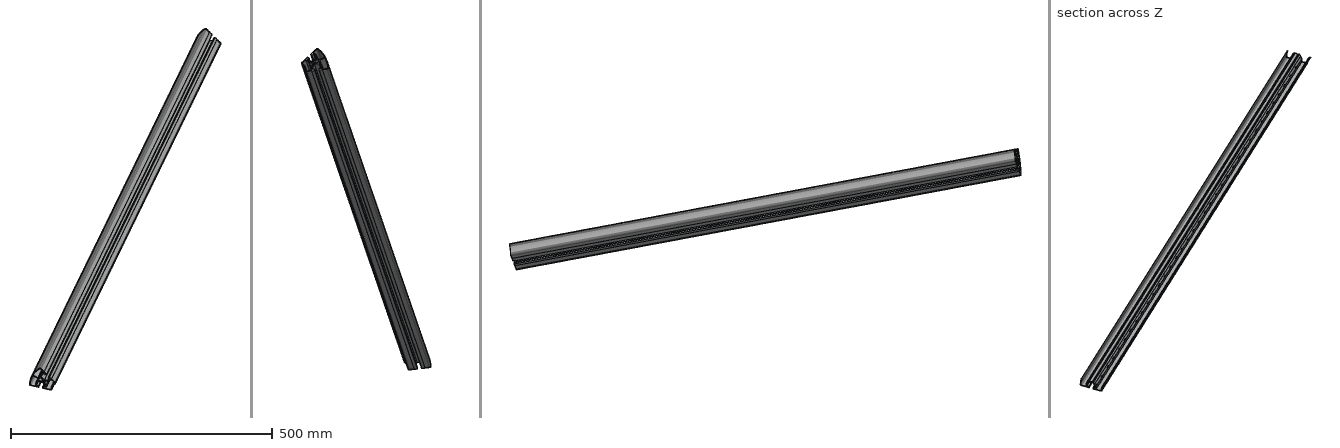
import math

import cadquery as cq

LENGTH = 1000.0
FACE_DISTANCE = 21.425
FACE_HALF_WIDTH = 22.5
SLOT_ANGLE = 135.0

WALL = 1.5
BACK_RADIUS = 71.5
FRONT_RADIUS = 18.9
CORNER_RADIUS = 2.5
INNER_CORNER_RADIUS = 1.4

SLOT_HALF_OPENING = 4.1
LIP_THICKNESS = 4.3
SLOT_HALF_WIDTH = 8.2
TAPER_START = 12.6
SLOT_BASE = 6.4
SLOT_BASE_HALF_WIDTH = 4.5
SLOT_WALL = 2.3
SLOT_BASE_WALL = 3.5
SLOT_ROOT_HALF_WIDTH = 2.2

CORE_HOLE_DIAMETER = 7.3
CORE_RADIUS = 6.2
RIB_THICKNESS = 1.7

AXIS_ANGLE = SLOT_ANGLE / 2 - 90.0
PROFILE_CENTRE = (0, 0, 0)
BAR_DIRECTION = (0, 1, 0)


def polar(radius, degrees):
    angle = math.radians(degrees)
    return (radius * math.cos(angle), radius * math.sin(angle))


def shifted(point, offset):
    return (point[0] + offset[0], point[1] + offset[1])


def mirrored(point):
    """Reflect a profile point in the mirror line."""
    double = math.radians(2 * AXIS_ANGLE)
    x, z = point
    return (x * math.cos(double) + z * math.sin(double), x * math.sin(double) - z * math.cos(double))


def profile_plane():
    """XZ plane at the +Y end, from which the profile is extruded towards -Y."""
    return cq.Workplane("XZ", origin=(0, LENGTH / 2, 0))


def back_arc_centre():
    """Centre of the back arc: on the mirror line, and tangent to the outer back corners."""
    corner_x = FACE_HALF_WIDTH - CORNER_RADIUS
    corner_z = FACE_DISTANCE - CORNER_RADIUS
    corner_distance = math.hypot(corner_x, corner_z)
    corner_bearing = math.atan2(corner_z, corner_x) - math.radians(AXIS_ANGLE)
    half_chord = corner_distance * math.sin(corner_bearing)
    depth = math.sqrt((BACK_RADIUS - CORNER_RADIUS) ** 2 - half_chord**2)
    return polar(depth - corner_distance * math.cos(corner_bearing), AXIS_ANGLE)


def skin(inset, corner_radius):
    """Bar bounded by the outer outline moved inwards by `inset`, with its own corner radius."""
    face_z = inset - FACE_DISTANCE
    side_x = FACE_HALF_WIDTH - inset
    corner_z = face_z + corner_radius
    back_bearing = AXIS_ANGLE + 180.0

    front_corner = (side_x - corner_radius, corner_z)
    front_corner_middle = shifted(front_corner, polar(corner_radius, -45.0))
    front_corner_end = (side_x, corner_z)
    front_centre_x = FACE_HALF_WIDTH + FRONT_RADIUS
    front_centre = (front_centre_x, front_centre_x * math.tan(math.radians(AXIS_ANGLE)))
    front_start = (side_x, front_centre[1])
    front_middle = shifted(front_centre, polar(FRONT_RADIUS + inset, back_bearing))

    back_radius = BACK_RADIUS - inset
    back_centre = back_arc_centre()
    rise = corner_z - back_centre[1]
    reach = math.sqrt((back_radius - corner_radius) ** 2 - rise**2)
    back_corner = (back_centre[0] - reach, corner_z)
    end_bearing = 180.0 - math.degrees(math.atan2(rise, reach))
    back_end = shifted(back_corner, polar(corner_radius, end_bearing))
    back_corner_middle = shifted(back_corner, polar(corner_radius, (end_bearing + 270.0) / 2))
    back_middle = shifted(back_centre, polar(back_radius, back_bearing))

    face_start = (back_corner[0], face_z)
    face_end = (front_corner[0], face_z)
    return (
        profile_plane()
        .moveTo(*face_start)
        .lineTo(*face_end)
        .threePointArc(front_corner_middle, front_corner_end)
        .lineTo(*front_start)
        .threePointArc(front_middle, mirrored(front_start))
        .lineTo(*mirrored(front_corner_end))
        .threePointArc(mirrored(front_corner_middle), mirrored(face_end))
        .lineTo(*mirrored(face_start))
        .threePointArc(mirrored(back_corner_middle), mirrored(back_end))
        .threePointArc(back_middle, back_end)
        .threePointArc(back_corner_middle, face_start)
        .close()
        .extrude(LENGTH)
    )


def both_slots(bar):
    """The lower slot bar together with its copy at the upper slot."""
    return bar.union(bar.rotate(PROFILE_CENTRE, BAR_DIRECTION, -SLOT_ANGLE))


def symmetric_bar(half_outline):
    """Bar from the right half of an outline that is symmetric about X = 0."""
    left_half = [(-x, z) for x, z in reversed(half_outline)]
    return profile_plane().polyline(half_outline + left_half).close().extrude(LENGTH)


def slot_bar():
    lip_inside = FACE_DISTANCE - LIP_THICKNESS
    return symmetric_bar([
        (SLOT_BASE_HALF_WIDTH, -SLOT_BASE),
        (SLOT_HALF_WIDTH, -TAPER_START),
        (SLOT_HALF_WIDTH, -lip_inside),
        (SLOT_HALF_OPENING, -lip_inside),
        (SLOT_HALF_OPENING, -FACE_DISTANCE),
    ])


def slot_wall_bar():
    """Solid bar around a slot, from the profile centre to the slotted face."""
    return symmetric_bar([
        (SLOT_ROOT_HALF_WIDTH, 0),
        (SLOT_BASE_HALF_WIDTH + SLOT_BASE_WALL, -SLOT_BASE),
        (SLOT_HALF_WIDTH + SLOT_WALL, -TAPER_START),
        (SLOT_HALF_WIDTH + SLOT_WALL, -FACE_DISTANCE),
    ])


def core_bar(radius):
    return profile_plane().circle(radius).extrude(LENGTH)


def back_rib():
    rib_length = FACE_DISTANCE
    rib = cq.Workplane("XY").box(rib_length, LENGTH, RIB_THICKNESS).translate((-rib_length / 2, 0, 0))
    return rib.rotate(PROFILE_CENTRE, BAR_DIRECTION, -AXIS_ANGLE)


def chambers():
    """The hollow spaces between the skin, the slot walls, the core and the back rib."""
    inside = skin(WALL, INNER_CORNER_RADIUS)
    return inside.cut(both_slots(slot_wall_bar())).cut(core_bar(CORE_RADIUS)).cut(back_rib())


outer_bar = skin(0, CORNER_RADIUS)
result = outer_bar.cut(chambers()).cut(both_slots(slot_bar())).cut(core_bar(CORE_HOLE_DIAMETER / 2))